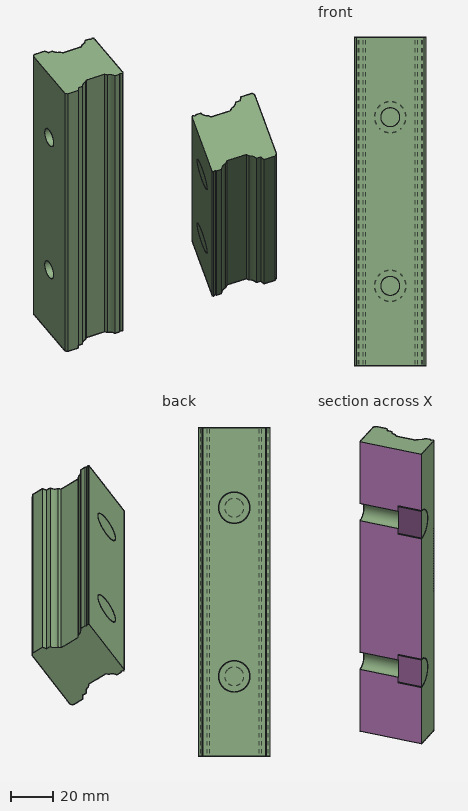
import cadquery as cq

rail_length = 156.0
rail_height = 31.85
base_width = 34.0
head_width = 30.5
waist_width = 23.7

base_chamfer = 1.0
base_side_top = 6.65
shoulder_rise = 1.0

raceway_center_height = 18.55
raceway_outer_offset = 8.7
raceway_inner_offset = 5.9
raceway_depth = 2.3
raceway_radius = 3.7

head_chamfer_run = 0.4
head_chamfer_drop = 0.5
groove_depth = 0.5
groove_upper_drop = 1.1

hole_pitch = 80.0
hole_count = 2
hole_diameter = 9.0
counterbore_diameter = 15.0
counterbore_depth = 12.0

plug_diameter = 14.65

first_hole_z = (rail_length - (hole_count - 1) * hole_pitch) / 2
hole_heights = [first_hole_z + i * hole_pitch for i in range(hole_count)]


def half_section(side):
    """Half of the rail cross-section; side is +1 for +X and -1 for -X."""
    base_x = base_width / 2
    head_x = head_width / 2
    waist_x = waist_width / 2
    deep_x = head_x - raceway_depth
    waist_offset = raceway_inner_offset - (deep_x - waist_x)
    groove_top = rail_height - head_chamfer_drop
    groove_root = groove_top - groove_upper_drop
    mid = raceway_center_height

    def at(x, y):
        return (side * x, y)

    return (
        cq.Workplane("XY")
        .moveTo(0, 0)
        .lineTo(*at(base_x - base_chamfer, 0))
        .lineTo(*at(base_x, base_chamfer))
        .lineTo(*at(base_x, base_side_top))
        .lineTo(*at(head_x, base_side_top + shoulder_rise))
        .lineTo(*at(head_x, mid - raceway_outer_offset))
        .radiusArc(at(deep_x, mid - raceway_inner_offset), side * raceway_radius)
        .lineTo(*at(waist_x, mid - waist_offset))
        .lineTo(*at(waist_x, mid + waist_offset))
        .lineTo(*at(deep_x, mid + raceway_inner_offset))
        .radiusArc(at(head_x, mid + raceway_outer_offset), side * raceway_radius)
        .lineTo(*at(head_x, groove_root - groove_depth))
        .lineTo(*at(head_x - groove_depth, groove_root))
        .lineTo(*at(head_x, groove_top))
        .lineTo(*at(head_x - head_chamfer_run, rail_height))
        .lineTo(0, rail_height)
        .close()
    )


def cylinder_down(diameter, depth, z):
    """Cylinder along Y that ends at the +Y face and reaches down by depth."""
    start = cq.Vector(0, rail_height, z)
    return cq.Workplane(cq.Solid.makeCylinder(diameter / 2, depth, start, cq.Vector(0, -1, 0)))


right_half = half_section(1).extrude(rail_length)
left_half = half_section(-1).extrude(rail_length)
rail = right_half.union(left_half).clean()
for z in hole_heights:
    rail = rail.cut(cylinder_down(hole_diameter, rail_height, z))
    rail = rail.cut(cylinder_down(counterbore_diameter, counterbore_depth, z))

plugs = [cylinder_down(plug_diameter, counterbore_depth, z) for z in hole_heights]

result = cq.Compound.makeCompound([rail.val(), *[plug.val() for plug in plugs]])